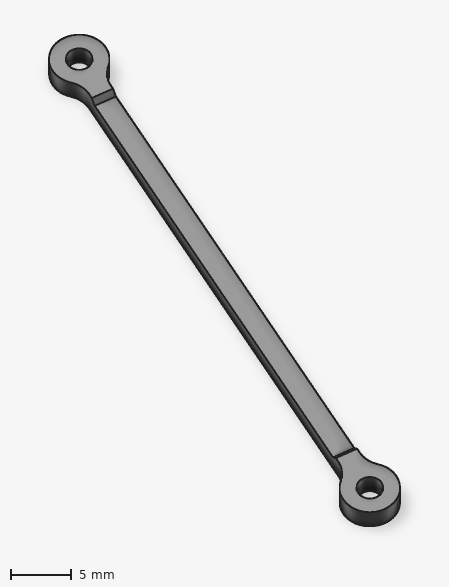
import cadquery as cq
import math

hole_spacing = 50.0
hole_diameter = 2.2
eye_radius = 2.5
eye_height = 2.0
bar_width = 2.0
bar_height = 1.5

neck_fillet_radius = 2.5
step_start = 4.0
step_run = 0.5

eye_x = hole_spacing / 2
half_width = bar_width / 2

center_distance = eye_radius + neck_fillet_radius
fillet_center_y = half_width + neck_fillet_radius
fillet_center_x = math.sqrt(center_distance**2 - fillet_center_y**2)
tangent_x = eye_radius * fillet_center_x / center_distance
tangent_y = eye_radius * fillet_center_y / center_distance
fillet_angle = math.atan2(fillet_center_y, fillet_center_x)
mid_angle = (fillet_angle + math.pi / 2) / 2
fillet_mid_x = fillet_center_x - neck_fillet_radius * math.cos(mid_angle)
fillet_mid_y = fillet_center_y - neck_fillet_radius * math.sin(mid_angle)


def make_left_eye():
    """Eye with its filleted neck, ending at the sloped step down to the bar."""
    neck_end = step_start + step_run
    eye = (
        cq.Workplane("XY")
        .moveTo(neck_end, half_width)
        .lineTo(fillet_center_x, half_width)
        .threePointArc((fillet_mid_x, fillet_mid_y), (tangent_x, tangent_y))
        .threePointArc((-eye_radius, 0), (tangent_x, -tangent_y))
        .threePointArc((fillet_mid_x, -fillet_mid_y), (fillet_center_x, -half_width))
        .lineTo(neck_end, -half_width)
        .close()
        .extrude(eye_height)
    )
    step_wedge = (
        cq.Workplane("XZ")
        .moveTo(step_start, eye_height)
        .lineTo(neck_end, eye_height)
        .lineTo(neck_end, bar_height)
        .close()
        .extrude(half_width, both=True)
    )
    hole = cq.Workplane("XY").circle(hole_diameter / 2).extrude(eye_height)
    return eye.cut(step_wedge).cut(hole).translate((-eye_x, 0, 0))


def make_bar():
    """Plain bar reaching between the two necks."""
    length = hole_spacing - 2 * step_start
    return cq.Workplane("XY").box(length, bar_width, bar_height, centered=(True, True, False))


left_eye = make_left_eye()
right_eye = left_eye.mirror("YZ")
result = make_bar().union(left_eye).union(right_eye).clean()